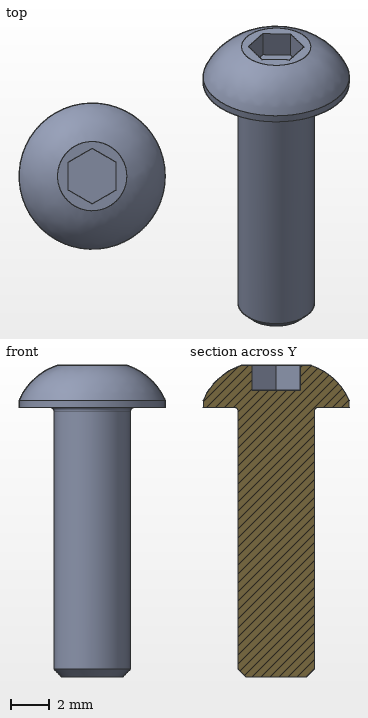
import cadquery as cq
import math

total_length = 16.2
head_diameter = 7.6
head_height = 2.2
rim_height = 0.37
crown_flat_diameter = 3.6
dome_bulge = 0.29
shank_diameter = 3.99
tip_chamfer = 0.42
neck_fillet = 0.2
socket_across_flats = 2.5
socket_depth = 1.3

head_radius = head_diameter / 2
crown_radius = crown_flat_diameter / 2
shank_radius = shank_diameter / 2
head_base_z = total_length - head_height
rim_top_z = head_base_z + rim_height


def dome_midpoint():
    """Middle of the dome arc, pushed outward from the rim-to-crown chord."""
    run = head_radius - crown_radius
    rise = total_length - rim_top_z
    chord = math.hypot(run, rise)
    mid_radius = (head_radius + crown_radius) / 2 + dome_bulge * rise / chord
    mid_z = (rim_top_z + total_length) / 2 + dome_bulge * run / chord
    return mid_radius, mid_z


def screw_body():
    """Head, neck fillet, shank and chamfered tip as one revolved profile."""
    fillet_shift = neck_fillet * (1 - math.sqrt(0.5))
    return (
        cq.Workplane("XZ")
        .lineTo(shank_radius - tip_chamfer, 0)
        .lineTo(shank_radius, tip_chamfer)
        .lineTo(shank_radius, head_base_z - neck_fillet)
        .threePointArc(
            (shank_radius + fillet_shift, head_base_z - fillet_shift),
            (shank_radius + neck_fillet, head_base_z),
        )
        .lineTo(head_radius, head_base_z)
        .lineTo(head_radius, rim_top_z)
        .threePointArc(dome_midpoint(), (crown_radius, total_length))
        .lineTo(0, total_length)
        .close()
        .revolve(360, (0, 0, 0), (0, 1, 0))
    )


def hex_socket():
    """Hexagonal drive recess with two corners on the Y axis."""
    across_corners = socket_across_flats / math.cos(math.pi / 6)
    return (
        cq.Workplane("XY")
        .workplane(offset=total_length - socket_depth)
        .transformed(rotate=(0, 0, 90))
        .polygon(6, across_corners)
        .extrude(socket_depth)
    )


result = screw_body().cut(hex_socket())